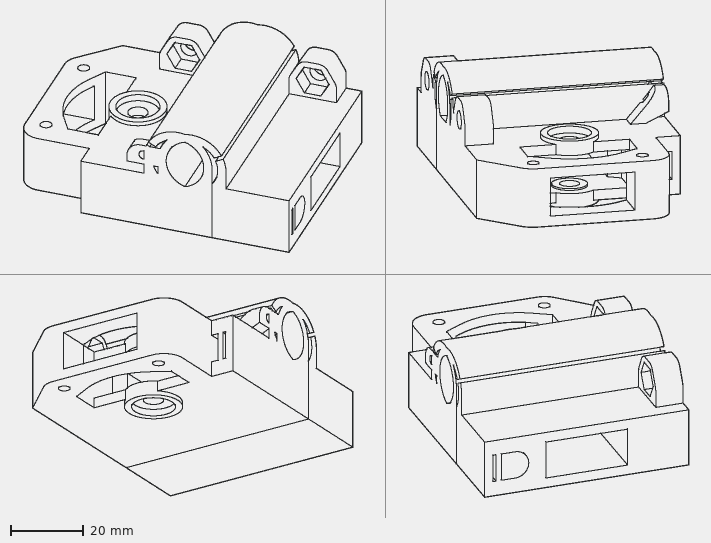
import cadquery as cq
import math

DEPTH = 60.0
BLOCK_HEIGHT = 16.9
BLOCK_END = 30.5
MID_Y = DEPTH / 2

CLAMP_OFFSET = 2.05
CLAMP_AXIS_Z = 22.3
CLAMP_RADIUS = 10.0
BORE_RADIUS = 7.55
SLIT_WIDTH = 1.1
SLIT_ANGLE = 27
BACK_WALL = 2.0
SPLIT_X = CLAMP_RADIUS - CLAMP_OFFSET

NUT_OFFSET = 18.95
NUT_ACROSS_FLATS = 8.4
NUT_POCKET_DEPTH = 5.0
NUT_BOLT_RADIUS = 2.55
HOLDER_LENGTH = 8.0
HOLDER_HALF_WIDTH = 7.0
HOLDER_TOP = 6.1
HOLDER_ROUNDING = 3.2

MOUNT_LEFT = -51.5
MOUNT_FRONT = 7.0
MOUNT_RIGHT = CLAMP_OFFSET - CLAMP_RADIUS
MOUNT_CHAMFER = 12.0
MOUNT_ROUNDING = 6.0
MOTOR_X = MOUNT_LEFT + 21.15
SCREW_SPACING = 31.0
SCREW_RADIUS = 1.6
OPENING_HALF_TOP = 9.1
OPENING_HALF_DEPTH = 15.6
OPENING_HALF_WIDTH = 14.85
OPENING_ARC_RADIUS = 21.0
OPENING_ARC_HALF_CHORD = 10.8

PLATE_THICKNESS = 2.95
BELT_WIDTH = 24.0
ROD_RADIUS = 4.0
ROD_Y = 8.9
SLOT_Y = 2.9
SLOT_WIDTH = 0.9

IDLER_X = -24.4
BOSS_RADIUS = 8.0
BOSS_HEIGHT = 1.2
RECESS_RADIUS = 6.1
RECESS_DEPTH = 2.0
AXLE_RADIUS = 2.8
COLLAR_RADIUS = 5.0
COLLAR_HEIGHT = 0.5

LUG_LEFT = -17.0
LUG_TOP = 25.9
LUG_BOTTOM = 19.85
LUG_ROUNDING = 4.0
LUG_TOP_LENGTH = 3.0
LUG_FOOT_BACK = 10.9
LUG_FOOT_FRONT = 6.5
LUG_SCREW_X = -12.1
LUG_SCREW_Z = 22.8
LUG_SCREW_RADIUS = 1.3


def box(x_range, y_range, z_range):
    """Axis-aligned box between the given limits."""
    sizes = [end - start for start, end in (x_range, y_range, z_range)]
    corner = (x_range[0], y_range[0], z_range[0])
    return cq.Workplane("XY").box(*sizes, centered=False).translate(corner)


def rod_along_y(x, z, radius, y_start, y_end):
    """Cylinder along Y."""
    plane = cq.Workplane("XZ", origin=(x, y_start, z))
    return plane.circle(radius).extrude(y_start - y_end)


def disc(x, y, radius, z_start, z_end):
    """Cylinder along Z."""
    return cq.Workplane("XY", origin=(x, y, z_start)).circle(radius).extrude(z_end - z_start)


def bore(side):
    """Bore of one clamp; it stops short of the back only below the block top."""
    hole = rod_along_y(side * CLAMP_OFFSET, CLAMP_AXIS_Z, BORE_RADIUS, 0, DEPTH)
    back = box((-BLOCK_END, BLOCK_END), (DEPTH - BACK_WALL, DEPTH), (0, BLOCK_HEIGHT))
    return hole.cut(back)


def clamp(side):
    """Split sleeve on a block-wide foot; side is -1 for the left sleeve, +1 for the right."""
    axis_x = side * CLAMP_OFFSET
    sleeve = rod_along_y(axis_x, CLAMP_AXIS_Z, CLAMP_RADIUS, 0, DEPTH)
    foot = box((axis_x - CLAMP_RADIUS, axis_x + CLAMP_RADIUS), (0, DEPTH), (0, CLAMP_AXIS_Z))
    slit = (
        cq.Workplane("XY")
        .box(2 * CLAMP_RADIUS, DEPTH, SLIT_WIDTH, centered=(False, False, True))
        .rotate((0, 0, 0), (0, 1, 0), -SLIT_ANGLE)
    )
    if side < 0:
        slit = slit.mirror("YZ")
    return sleeve.union(foot).cut(bore(side)).cut(slit.translate((axis_x, 0, CLAMP_AXIS_Z)))


def nut_holder(side):
    """Rounded hexagonal holder at the back, with a nut pocket in its front and a bolt hole through."""
    axis_x = side * NUT_OFFSET
    front = DEPTH - HOLDER_LENGTH
    half_top = HOLDER_TOP * math.tan(math.radians(30))
    shoulder = HOLDER_TOP - (HOLDER_HALF_WIDTH - half_top) * math.tan(math.radians(60))
    foot = BLOCK_HEIGHT - CLAMP_AXIS_Z
    body = (
        cq.Workplane("XZ", origin=(axis_x, DEPTH, CLAMP_AXIS_Z))
        .polyline([
            (-HOLDER_HALF_WIDTH, foot),
            (-HOLDER_HALF_WIDTH, shoulder),
            (-half_top, HOLDER_TOP),
            (half_top, HOLDER_TOP),
            (HOLDER_HALF_WIDTH, shoulder),
            (HOLDER_HALF_WIDTH, foot),
        ])
        .close()
        .extrude(HOLDER_LENGTH)
        .edges("|Y")
        .edges("not <Z")
        .fillet(HOLDER_ROUNDING)
    )
    pocket = (
        cq.Workplane("XZ", origin=(axis_x, front, CLAMP_AXIS_Z))
        .polygon(6, NUT_ACROSS_FLATS / math.cos(math.radians(30)))
        .extrude(-NUT_POCKET_DEPTH)
    )
    return body.cut(pocket).cut(rod_along_y(axis_x, CLAMP_AXIS_Z, NUT_BOLT_RADIUS, front, DEPTH))


def motor_opening():
    """Full-height opening: straight ends joined by tangent lines to two flat arcs."""
    arc_shift = OPENING_ARC_RADIUS - OPENING_HALF_WIDTH
    arc_end = math.sqrt(OPENING_ARC_RADIUS**2 - OPENING_ARC_HALF_CHORD**2) - arc_shift
    return (
        cq.Workplane("XY", origin=(MOTOR_X, MID_Y, 0))
        .moveTo(-OPENING_HALF_TOP, OPENING_HALF_DEPTH)
        .lineTo(OPENING_HALF_TOP, OPENING_HALF_DEPTH)
        .lineTo(arc_end, OPENING_ARC_HALF_CHORD)
        .threePointArc((OPENING_HALF_WIDTH, 0), (arc_end, -OPENING_ARC_HALF_CHORD))
        .lineTo(OPENING_HALF_TOP, -OPENING_HALF_DEPTH)
        .lineTo(-OPENING_HALF_TOP, -OPENING_HALF_DEPTH)
        .lineTo(-arc_end, -OPENING_ARC_HALF_CHORD)
        .threePointArc((-OPENING_HALF_WIDTH, 0), (-arc_end, OPENING_ARC_HALF_CHORD))
        .close()
        .extrude(BLOCK_HEIGHT)
    )


def motor_mount():
    """Solid mount with a chamfered back corner and rounded left corners."""
    return (
        cq.Workplane("XY")
        .polyline([
            (MOUNT_LEFT, MOUNT_FRONT),
            (MOUNT_RIGHT, MOUNT_FRONT),
            (MOUNT_RIGHT, DEPTH),
            (MOUNT_LEFT + MOUNT_CHAMFER, DEPTH),
            (MOUNT_LEFT, DEPTH - MOUNT_CHAMFER),
        ])
        .close()
        .extrude(BLOCK_HEIGHT)
        .edges("|Z and <X")
        .fillet(MOUNT_ROUNDING)
    )


def motor_screw_holes():
    """The two screw holes beside the open half of the motor opening."""
    x = MOTOR_X - SCREW_SPACING / 2
    front_hole = disc(x, MID_Y - SCREW_SPACING / 2, SCREW_RADIUS, 0, BLOCK_HEIGHT)
    back_hole = disc(x, MID_Y + SCREW_SPACING / 2, SCREW_RADIUS, 0, BLOCK_HEIGHT)
    return front_hole.union(back_hole)


def belt_channel():
    """Rectangular channel through both bodies."""
    return box(
        (MOUNT_LEFT, BLOCK_END),
        (MID_Y - BELT_WIDTH / 2, MID_Y + BELT_WIDTH / 2),
        (PLATE_THICKNESS, BLOCK_HEIGHT - PLATE_THICKNESS),
    )


def rod_channel():
    """Channel with a round back half and a square front half, beside a narrow slot."""
    axis_z = BLOCK_HEIGHT / 2
    z_range = (axis_z - ROD_RADIUS, axis_z + ROD_RADIUS)
    x_range = (-BLOCK_END, BLOCK_END)
    round_part = (
        cq.Workplane("YZ", origin=(-BLOCK_END, ROD_Y, axis_z))
        .circle(ROD_RADIUS)
        .extrude(2 * BLOCK_END)
    )
    square_part = box(x_range, (ROD_Y - ROD_RADIUS, ROD_Y), z_range)
    slot = box(x_range, (SLOT_Y - SLOT_WIDTH / 2, SLOT_Y + SLOT_WIDTH / 2), z_range)
    return round_part.union(square_part).union(slot)


def idler_boss():
    """Upper idler boss: rim above the block and collar in the belt space."""
    plate_bottom = BLOCK_HEIGHT - PLATE_THICKNESS
    rim_top = BLOCK_HEIGHT + BOSS_HEIGHT
    rim = disc(IDLER_X, MID_Y, BOSS_RADIUS, plate_bottom, rim_top)
    collar = disc(IDLER_X, MID_Y, COLLAR_RADIUS, plate_bottom - COLLAR_HEIGHT, plate_bottom)
    return rim.union(collar)


def idler_hole():
    """Recess and axle hole of the upper idler boss."""
    rim_top = BLOCK_HEIGHT + BOSS_HEIGHT
    recess = disc(IDLER_X, MID_Y, RECESS_RADIUS, rim_top - RECESS_DEPTH, rim_top)
    return recess.union(disc(IDLER_X, MID_Y, AXLE_RADIUS, BLOCK_HEIGHT / 2, rim_top))


def with_lower_copy(upper):
    """The shape together with its mirror image about the block's mid-height."""
    return upper.union(upper.mirror("XY", (0, 0, BLOCK_HEIGHT / 2)))


def screw_lug():
    """Lug with sloping back and underside, a rounded upper left edge and a screw hole in its overhang."""
    lug_right = CLAMP_OFFSET - (CLAMP_RADIUS + BORE_RADIUS) / 2
    clamp_left = -CLAMP_OFFSET - CLAMP_RADIUS
    lug = (
        cq.Workplane("YZ", origin=(LUG_LEFT, 0, 0))
        .polyline([
            (0, LUG_BOTTOM),
            (0, LUG_TOP),
            (LUG_TOP_LENGTH, LUG_TOP),
            (LUG_FOOT_BACK, BLOCK_HEIGHT),
            (LUG_FOOT_FRONT, BLOCK_HEIGHT),
        ])
        .close()
        .extrude(lug_right - LUG_LEFT)
    )
    rounded_outline = (
        box((LUG_LEFT, lug_right), (0, LUG_FOOT_BACK), (BLOCK_HEIGHT, LUG_TOP))
        .edges("|Y and <X and >Z")
        .fillet(LUG_ROUNDING)
    )
    overhang = box((LUG_LEFT, clamp_left), (0, LUG_FOOT_BACK), (BLOCK_HEIGHT, LUG_TOP))
    screw_hole = rod_along_y(LUG_SCREW_X, LUG_SCREW_Z, LUG_SCREW_RADIUS, 0, LUG_FOOT_BACK)
    return lug.intersect(rounded_outline).cut(screw_hole.intersect(overhang))


def outer_block_wall():
    """Part of the right clamp beyond the split plane and below its slit."""
    beyond_split = box((SPLIT_X, BLOCK_END), (0, DEPTH), (0, 2 * CLAMP_AXIS_Z))
    return clamp(1).intersect(beyond_split).solids("<Z")


def outer_block():
    """Body to the right of the split plane: plain block, clamp wall and nut holder."""
    block = box((SPLIT_X, BLOCK_END), (0, DEPTH), (0, BLOCK_HEIGHT)).cut(bore(1))
    body = block.union(outer_block_wall()).union(nut_holder(1))
    return body.cut(belt_channel()).cut(rod_channel())


def main_block():
    """Body with the motor mount, idler bosses, lug, left nut holder and the rest of both clamps."""
    block = box((-BLOCK_END, SPLIT_X), (0, DEPTH), (0, BLOCK_HEIGHT)).cut(bore(-1).intersect(bore(1)))
    right_clamp_rest = clamp(1).cut(outer_block_wall())
    frame = block.union(clamp(-1)).union(right_clamp_rest)

    belt_space = box(
        (-BLOCK_END, SPLIT_X),
        (0, DEPTH),
        (PLATE_THICKNESS, BLOCK_HEIGHT - PLATE_THICKNESS),
    )
    opening = motor_opening()
    frame = frame.cut(rod_channel()).cut(opening.intersect(belt_space))
    mount = motor_mount().cut(motor_screw_holes()).cut(opening)

    body = frame.union(mount).cut(belt_channel())
    body = body.union(screw_lug()).union(nut_holder(-1))
    return body.union(with_lower_copy(idler_boss())).cut(with_lower_copy(idler_hole()))


motor_and_idler_body = main_block().solids()
outer_body = outer_block().solids()
result = cq.Compound.makeCompound([motor_and_idler_body.val(), outer_body.val()])